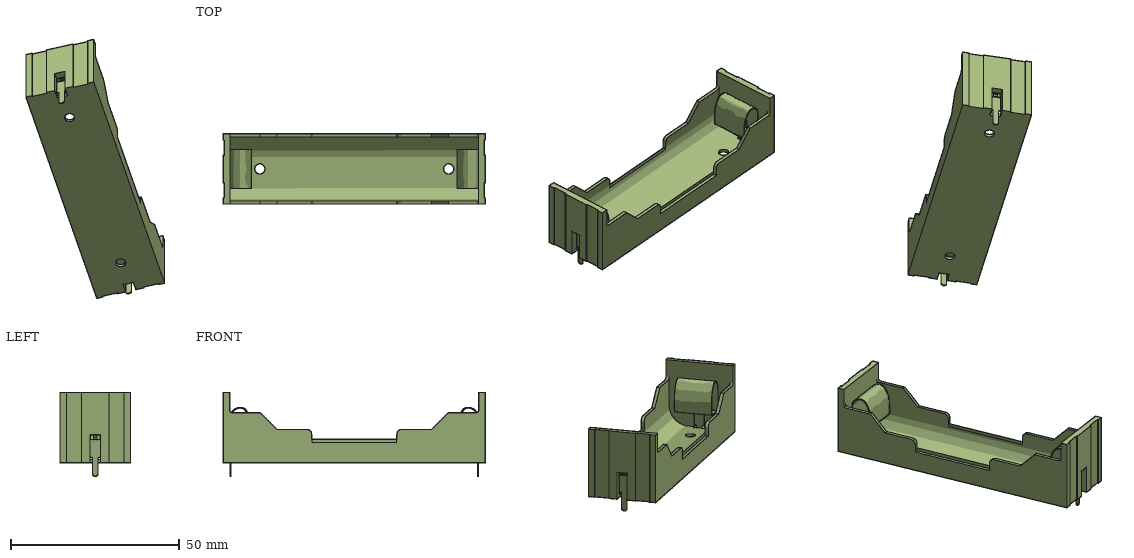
import cadquery as cq
import math

LENGTH = 78.0
WIDTH = 21.0
HEIGHT = 21.0
END_WALL = 2.0
SIDE_WALL = 1.0
FLOOR = 1.0

FLAT_WIDTH = 6.9

SHOULDER_HEIGHT = 15.0
SHOULDER_END = 28.0
LOWER_HEIGHT = 10.0
LOWER_START = 23.0
NOTCH_HALF = 12.6
NOTCH_FLOOR = 6.1
SHOULDER_FILLET = 0.7
NOTCH_ROUND = 1.5

GROOVE_DEPTH = 0.3
GROOVE_INNER = 4.1
GROOVE_OUTER = 8.6

HOLE_DIAMETER = 3.0
HOLE_SPACING = 56.15
SLOT_WIDTH = 3.1
SLOT_HEIGHT = 8.35
SLOT_DEPTH = 2.8

SHEET = 0.28
SPRING_WIDTH = 11.6
SPRING_TOP = 16.5
SPRING_PEAK_INSET = 5.15
SPRING_BROW_INSET = 7.1
SPRING_BROW_HEIGHT = 15.4
SPRING_REACH = 8.5
CURL_START = 8.0
CURL_RADIUS = 1.1
SHELF_END_INSET = 3.3
TONGUE_WIDTH = 1.2
TONGUE_RISE = 1.6
TONGUE_RUN = 1.1
WINDOW_WIDTH = 2.8
WINDOW_HEIGHT = 1.55

PLATE_BOTTOM = 1.6
LEG_WIDTH = 1.7
LEG_LENGTH = 4.05
LEG_FILLET = 0.5

HALF_LENGTH = LENGTH / 2
INNER_HALF_LENGTH = HALF_LENGTH - END_WALL
INNER_HALF_WIDTH = WIDTH / 2 - SIDE_WALL
TROUGH_RADIUS = INNER_HALF_WIDTH - FLAT_WIDTH / 2
SHELF_TOP = CURL_START - CURL_RADIUS
SHELF_BOTTOM = SHELF_TOP - SHEET


def box(x_range, y_range, z_range):
    """Block spanning the given ranges."""
    size = [end - start for start, end in (x_range, y_range, z_range)]
    corner = (x_range[0], y_range[0], z_range[0])
    return cq.Workplane("XY").box(*size, centered=False).translate(corner)


def trough_cut():
    """Space between the end walls: flat floor, round flanks and upright side walls, all tangent."""
    half_flat = FLAT_WIDTH / 2
    wall_foot = FLOOR + TROUGH_RADIUS
    mid_y = half_flat + TROUGH_RADIUS * math.sin(math.pi / 4)
    mid_z = wall_foot - TROUGH_RADIUS * math.cos(math.pi / 4)
    profile = (
        cq.Workplane("YZ", origin=(-INNER_HALF_LENGTH, 0, 0))
        .moveTo(-half_flat, FLOOR)
        .lineTo(half_flat, FLOOR)
        .threePointArc((mid_y, mid_z), (INNER_HALF_WIDTH, wall_foot))
        .lineTo(INNER_HALF_WIDTH, HEIGHT)
        .lineTo(-INNER_HALF_WIDTH, HEIGHT)
        .lineTo(-INNER_HALF_WIDTH, wall_foot)
        .threePointArc((-mid_y, mid_z), (-half_flat, FLOOR))
        .close()
    )
    return profile.extrude(2 * INNER_HALF_LENGTH)


def side_wall_cut(y_start):
    """Material above the stepped edge of the side wall that starts at y_start."""
    right_half = [
        (INNER_HALF_LENGTH, HEIGHT),
        (INNER_HALF_LENGTH, SHOULDER_HEIGHT),
        (SHOULDER_END, SHOULDER_HEIGHT),
        (LOWER_START, LOWER_HEIGHT),
        (NOTCH_HALF, LOWER_HEIGHT),
        (NOTCH_HALF, NOTCH_FLOOR),
    ]
    left_half = [(-x, z) for x, z in reversed(right_half)]
    cut = (
        cq.Workplane("XZ", origin=(0, y_start + SIDE_WALL, 0))
        .polyline(right_half + left_half)
        .close()
        .extrude(SIDE_WALL)
    )
    for side in (-1, 1):
        for x, z, radius in (
            (INNER_HALF_LENGTH, SHOULDER_HEIGHT, SHOULDER_FILLET),
            (NOTCH_HALF, LOWER_HEIGHT, NOTCH_ROUND),
        ):
            corner = cq.selectors.NearestToPointSelector((side * x, y_start + SIDE_WALL / 2, z))
            cut = cut.edges("|Y").edges(corner).fillet(radius)
    return cut


def make_housing():
    """Open tray with two tall end walls."""
    housing = box((-HALF_LENGTH, HALF_LENGTH), (-WIDTH / 2, WIDTH / 2), (0, HEIGHT))
    housing = housing.cut(trough_cut())
    for y_start in (-WIDTH / 2, INNER_HALF_WIDTH):
        housing = housing.cut(side_wall_cut(y_start))

    holes = (
        cq.Workplane("XY")
        .rarray(HOLE_SPACING, 0.8, 2, 1)
        .circle(HOLE_DIAMETER / 2)
        .extrude(FLOOR)
    )
    housing = housing.cut(holes)

    groove_x = (-HALF_LENGTH, -HALF_LENGTH + GROOVE_DEPTH)
    slot_x = (-HALF_LENGTH, -HALF_LENGTH + SLOT_DEPTH)
    end_cuts = [
        box(groove_x, (-GROOVE_OUTER, -GROOVE_INNER), (0, HEIGHT)),
        box(groove_x, (GROOVE_INNER, GROOVE_OUTER), (0, HEIGHT)),
        box(slot_x, (-SLOT_WIDTH / 2, SLOT_WIDTH / 2), (0, SLOT_HEIGHT)),
    ]
    for cut in end_cuts:
        housing = housing.cut(cut).cut(cut.mirror("YZ"))
    return housing


def spring_sheet():
    """Wide sheet: upright back, arched top, bulging front, and a curl into the level shelf."""
    back = -INNER_HALF_LENGTH
    peak = SPRING_PEAK_INSET - HALF_LENGTH
    front = SPRING_REACH - HALF_LENGTH
    brow = (SPRING_BROW_INSET - HALF_LENGTH, SPRING_BROW_HEIGHT)
    inner_brow = (brow[0] - SHEET / math.sqrt(2), brow[1] - SHEET / math.sqrt(2))
    shelf_end = SHELF_END_INSET - HALF_LENGTH
    arch_radius = peak - back
    arch_base = SPRING_TOP - arch_radius
    curl_center = front - SHEET - CURL_RADIUS
    right, down, up, left = (1, 0), (0, -1), (0, 1), (-1, 0)

    outline = (
        cq.Workplane("XZ", origin=(0, SPRING_WIDTH / 2, 0))
        .moveTo(back, SHELF_BOTTOM)
        .lineTo(back, arch_base)
        .tangentArcPoint((peak, SPRING_TOP), relative=False)
        .spline([(peak, SPRING_TOP), brow, (front, CURL_START)], tangents=[right, down])
        .radiusArc((curl_center, SHELF_BOTTOM), CURL_RADIUS + SHEET)
        .lineTo(shelf_end, SHELF_BOTTOM)
        .lineTo(shelf_end, SHELF_TOP)
        .lineTo(curl_center, SHELF_TOP)
        .radiusArc((front - SHEET, CURL_START), -CURL_RADIUS)
        .spline(
            [(front - SHEET, CURL_START), inner_brow, (peak, SPRING_TOP - SHEET)],
            tangents=[up, left],
        )
        .radiusArc((back + SHEET, arch_base), -(arch_radius - SHEET))
        .lineTo(back + SHEET, SHELF_BOTTOM)
        .close()
    )
    return outline.extrude(SPRING_WIDTH)


def window_cut():
    """Window through the upright back, level with the shelf."""
    return box(
        (-INNER_HALF_LENGTH, -INNER_HALF_LENGTH + SHEET),
        (-WINDOW_WIDTH / 2, WINDOW_WIDTH / 2),
        (SHELF_TOP, SHELF_TOP + WINDOW_HEIGHT),
    )


def tongue():
    """Narrow strip that rises steeply from the end of the shelf into the window."""
    root = SHELF_END_INSET - HALF_LENGTH
    tip = root - TONGUE_RUN
    slant = SHEET * math.hypot(TONGUE_RISE, TONGUE_RUN) / TONGUE_RISE
    return (
        cq.Workplane("XZ", origin=(0, TONGUE_WIDTH / 2, 0))
        .polyline([
            (root, SHELF_BOTTOM),
            (root + slant, SHELF_BOTTOM),
            (tip + slant, SHELF_BOTTOM + TONGUE_RISE),
            (tip, SHELF_BOTTOM + TONGUE_RISE),
        ])
        .close()
        .extrude(TONGUE_WIDTH)
    )


def terminal():
    """Plate behind the slot, narrowing to a round-tipped solder leg."""
    half_plate = SLOT_WIDTH / 2
    half_leg = LEG_WIDTH / 2
    neck = PLATE_BOTTOM - LEG_FILLET
    leg_end = half_leg - LEG_LENGTH
    return (
        cq.Workplane("YZ", origin=(-INNER_HALF_LENGTH, 0, 0))
        .moveTo(-half_plate, SHELF_BOTTOM)
        .lineTo(-half_plate, PLATE_BOTTOM)
        .lineTo(-half_leg - LEG_FILLET, PLATE_BOTTOM)
        .radiusArc((-half_leg, neck), LEG_FILLET)
        .lineTo(-half_leg, leg_end)
        .threePointArc((0, -LEG_LENGTH), (half_leg, leg_end))
        .lineTo(half_leg, neck)
        .radiusArc((half_leg + LEG_FILLET, PLATE_BOTTOM), LEG_FILLET)
        .lineTo(half_plate, PLATE_BOTTOM)
        .lineTo(half_plate, SHELF_BOTTOM)
        .close()
        .extrude(SHEET)
    )


def make_contact(turn):
    """Contact for the -X end, turned about Z by the given degrees."""
    contact = spring_sheet().cut(window_cut()).union(tongue()).union(terminal())
    return contact.rotate((0, 0, 0), (0, 0, 1), turn)


housing = make_housing()
contacts = [make_contact(turn) for turn in (0, 180)]

bodies = [housing, *contacts]
result = cq.Compound.makeCompound([body.solids().val() for body in bodies])